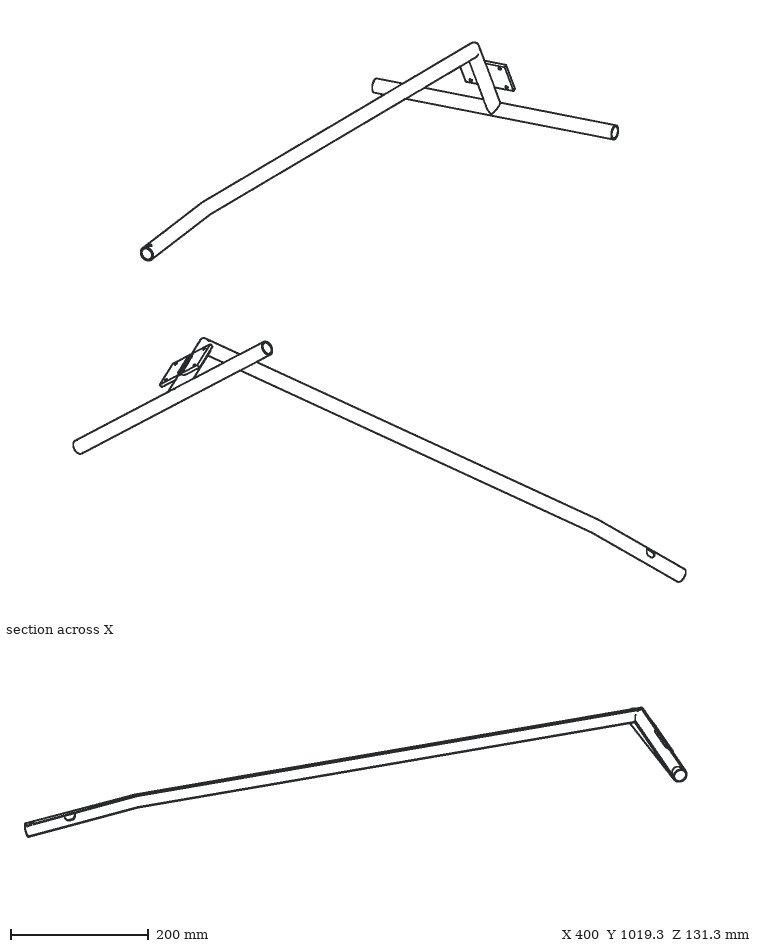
import cadquery as cq
import math

TUBE_OUTER_DIAMETER = 21.3
TUBE_INNER_DIAMETER = 17.0

CROSS_LENGTH = 400.0

LEG_RISE = 110.0
LEG_ANGLE = 60.0
ARM_OFFSET_X = -0.7
RUN_LENGTH = 775.0
TIP_LENGTH = 170.0
TIP_DROP_ANGLE = 6.0
TIP_SIDE_ANGLE = 0.75

SIDE_SLOT_LENGTH = 16.0
SIDE_SLOT_WIDTH = 12.0
SIDE_SLOT_FROM_KNEE = 100.5
TIP_HOLE_DIAMETER = 6.5
TIP_HOLE_FROM_END = 8.0

PLATE_WIDTH = 80.0
PLATE_LENGTH = 52.0
PLATE_THICKNESS = 5.0
PLATE_CROWN = 1.0
PLATE_FROM_BEND = 59.5
PLATE_HOLE_DIAMETER = 4.0
PLATE_HOLE_SPACING_X = 60.0
PLATE_HOLE_SPACING_Y = 40.0

CABLE_SLOT_LENGTH = 42.0
CABLE_SLOT_WIDTH = 12.0
CABLE_SLOT_TURN = 90.0

leg_slope = math.radians(LEG_ANGLE)
tip_drop = math.radians(TIP_DROP_ANGLE)
tip_side = math.radians(TIP_SIDE_ANGLE)
x_direction = cq.Vector(1, 0, 0)
leg_direction = cq.Vector(0, math.cos(leg_slope), -math.sin(leg_slope))
leg_back_normal = cq.Vector(0, math.sin(leg_slope), math.cos(leg_slope))
run_direction = cq.Vector(0, -1, 0)
tip_direction = cq.Vector(
    -math.sin(tip_side) * math.cos(tip_drop),
    -math.cos(tip_side) * math.cos(tip_drop),
    -math.sin(tip_drop),
)
tip_up_normal = cq.Vector(0, -math.sin(tip_drop), math.cos(tip_drop))

bend = cq.Vector(ARM_OFFSET_X, 0, 0)
foot = bend + leg_direction * (LEG_RISE / math.sin(leg_slope))
knee = bend + run_direction * RUN_LENGTH
tip_end = knee + tip_direction * TIP_LENGTH


def cross_rod(diameter):
    """Solid rod along X on the cross tube axis."""
    left_end = (-CROSS_LENGTH / 2, foot.y, foot.z)
    return cq.Workplane("YZ", origin=left_end).circle(diameter / 2).extrude(CROSS_LENGTH)


def arm_rod(diameter):
    """Solid rod along the arm axis, mitred at both bends."""
    axis = cq.Workplane(cq.Wire.makePolygon([foot, bend, knee, tip_end]))
    foot_plane = cq.Plane(foot, x_direction, leg_direction * -1)
    return cq.Workplane(foot_plane).circle(diameter / 2).sweep(axis, transition="right")


def side_slot_cutter():
    """Slot through the -X wall of the tip, running along the tip."""
    centre = knee + tip_direction * SIDE_SLOT_FROM_KNEE
    return (
        cq.Workplane("YZ", origin=centre.toTuple())
        .slot2D(SIDE_SLOT_LENGTH, SIDE_SLOT_WIDTH, TIP_DROP_ANGLE)
        .extrude(-TUBE_OUTER_DIAMETER)
    )


def tip_hole_cutter():
    """Round hole through the upper wall near the free end of the tip."""
    centre = tip_end - tip_direction * TIP_HOLE_FROM_END
    hole_plane = cq.Plane(centre, x_direction, tip_up_normal)
    return cq.Workplane(hole_plane).circle(TIP_HOLE_DIAMETER / 2).extrude(TUBE_OUTER_DIAMETER)


plate_face_height = TUBE_OUTER_DIAMETER / 2 + PLATE_CROWN
plate_centre = bend + leg_direction * PLATE_FROM_BEND + leg_back_normal * plate_face_height
plate_plane = cq.Plane(plate_centre, x_direction, leg_back_normal)


def cable_slot_cutter():
    """Slot along the leg, from the plate face down to the leg axis."""
    return (
        cq.Workplane(plate_plane)
        .slot2D(CABLE_SLOT_LENGTH, CABLE_SLOT_WIDTH, CABLE_SLOT_TURN)
        .extrude(-plate_face_height)
    )


def make_cross_tube():
    """Straight tube open at both ends."""
    return cross_rod(TUBE_OUTER_DIAMETER).cut(cross_rod(TUBE_INNER_DIAMETER))


def make_arm():
    """Bent tube whose foot is coped to sit on the cross tube."""
    tube = arm_rod(TUBE_OUTER_DIAMETER).cut(arm_rod(TUBE_INNER_DIAMETER))
    tube = tube.cut(cross_rod(TUBE_OUTER_DIAMETER))
    tube = tube.cut(side_slot_cutter())
    tube = tube.cut(tip_hole_cutter())
    return tube.cut(cable_slot_cutter())


def make_plate():
    """Mounting plate with four corner holes, grooved underneath to fit the leg."""
    plate = cq.Workplane(plate_plane).rect(PLATE_WIDTH, PLATE_LENGTH).extrude(-PLATE_THICKNESS)
    corner_holes = (
        cq.Workplane(plate_plane)
        .rect(PLATE_HOLE_SPACING_X, PLATE_HOLE_SPACING_Y, forConstruction=True)
        .vertices()
        .circle(PLATE_HOLE_DIAMETER / 2)
        .extrude(-PLATE_THICKNESS)
    )
    plate = plate.cut(corner_holes)
    plate = plate.cut(arm_rod(TUBE_OUTER_DIAMETER))
    return plate.cut(cable_slot_cutter())


cross_tube = make_cross_tube().solids()
arm = make_arm().solids()
mounting_plate = make_plate().solids()

result = cq.Compound.makeCompound([cross_tube.val(), arm.val(), mounting_plate.val()])